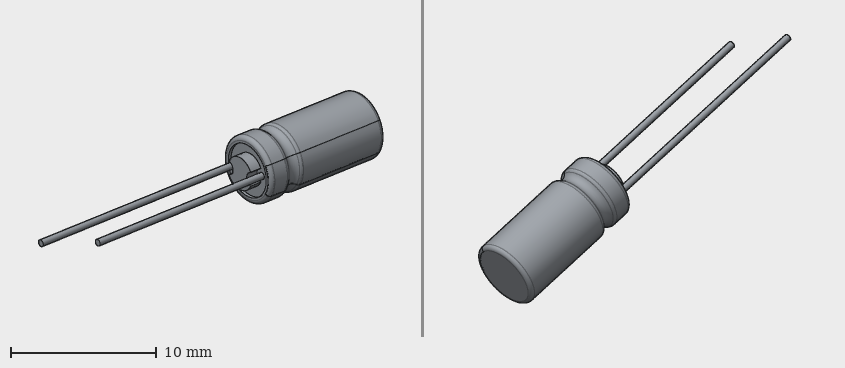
import cadquery as cq
import math


can_diameter = 5.0
can_radius = can_diameter / 2
can_length = 10.33
open_end_fillet = 0.35
closed_end_fillet = 0.3
recess_depth = 0.25

groove_center_y = 2.2
groove_depth = 0.35
groove_radius = 0.62
groove_lip_radius = 0.35

stripe_angle = 60.0
stripe_thickness = 0.08

bung_radius = 2.0
bung_thickness = 1.12
boss_diameter = 2.5
boss_radius = boss_diameter / 2
boss_height = 0.67
notch_radius = 0.53

lead_radius = 0.25
lead_pitch = 2.5
total_length = 28.0
lead_length_difference = 3.0
long_lead_end = can_length - total_length
lead_ends = {-1: long_lead_end, 1: long_lead_end + lead_length_difference}

bung_face_y = recess_depth
bung_back_y = bung_face_y + bung_thickness

DIAGONAL = math.sqrt(0.5)


def add_outer_profile(sketch, inset):
    """Draw the can's outside from the open end to the closed end, moved inward by inset."""
    side = can_radius - inset
    open_fillet = open_end_fillet - inset
    closed_fillet = closed_end_fillet - inset
    lip = groove_lip_radius - inset
    hollow = groove_radius + inset

    center_distance = groove_radius + groove_lip_radius
    blend_angle = math.acos(1 - groove_depth / center_distance)
    lip_offset = center_distance * math.sin(blend_angle)
    lip_center_x = can_radius - groove_lip_radius
    blend_x = lip_center_x + lip * math.cos(blend_angle)
    blend_offset = hollow * math.sin(blend_angle)
    lip_mid_x = lip_center_x + lip * math.cos(blend_angle / 2)
    lip_mid_offset = lip_offset - lip * math.sin(blend_angle / 2)
    groove_floor = can_radius - groove_depth - inset

    open_center_x = can_radius - open_end_fillet
    closed_center_x = can_radius - closed_end_fillet
    closed_center_y = can_length - closed_end_fillet
    return (
        sketch.lineTo(open_center_x, inset)
        .threePointArc(
            (open_center_x + open_fillet * DIAGONAL, open_end_fillet - open_fillet * DIAGONAL),
            (side, open_end_fillet),
        )
        .lineTo(side, groove_center_y - lip_offset)
        .threePointArc(
            (lip_mid_x, groove_center_y - lip_mid_offset),
            (blend_x, groove_center_y - blend_offset),
        )
        .threePointArc(
            (groove_floor, groove_center_y),
            (blend_x, groove_center_y + blend_offset),
        )
        .threePointArc(
            (lip_mid_x, groove_center_y + lip_mid_offset),
            (side, groove_center_y + lip_offset),
        )
        .lineTo(side, closed_center_y)
        .threePointArc(
            (closed_center_x + closed_fillet * DIAGONAL, closed_center_y + closed_fillet * DIAGONAL),
            (closed_center_x, can_length - inset),
        )
    )


def revolve_profile(inset):
    """Solid of revolution about Y whose outside lies inset below the can's surface."""
    sketch = cq.Workplane("XY").moveTo(0, inset)
    outline = add_outer_profile(sketch, inset).lineTo(0, can_length - inset).close()
    return outline.revolve(360, (0, 0), (0, 1))


def cylinder(radius, start_y, end_y, center_x=0):
    """Cylinder along Y between two Y positions."""
    plane = cq.Workplane(cq.Plane((center_x, start_y, 0), xDir=(1, 0, 0), normal=(0, 1, 0)))
    return plane.circle(radius).extrude(end_y - start_y)


def make_stripe():
    """Skin of the can within the stripe angle, ending where the end fillets meet the flats."""
    skin = revolve_profile(0).cut(revolve_profile(stripe_thickness))
    reach = 2 * can_radius
    half_width = reach * math.tan(math.radians(stripe_angle / 2))
    plane = cq.Workplane(cq.Plane((0, 0, 0), xDir=(1, 0, 0), normal=(0, 1, 0)))
    wedge = plane.polyline([(0, 0), (reach, -half_width), (reach, half_width)]).close().extrude(can_length)
    open_flat = cylinder(can_radius - open_end_fillet, 0, stripe_thickness)
    closed_flat = cylinder(can_radius - closed_end_fillet, can_length - stripe_thickness, can_length)
    return skin.cut(open_flat).cut(closed_flat).intersect(wedge)


def make_can(stripe):
    """Can body with a pocket for the bung and a shallow seat for the stripe."""
    pocket = cylinder(bung_radius, 0, bung_back_y)
    return revolve_profile(0).cut(pocket).cut(stripe)


def make_bung():
    """Plug with a boss, notched around each lead, and a hole for each lead."""
    bung = cylinder(bung_radius, bung_face_y, bung_back_y)
    bung = bung.union(cylinder(boss_radius, -boss_height, bung_face_y))
    for side in lead_ends:
        lead_x = side * lead_pitch / 2
        bung = bung.cut(cylinder(notch_radius, -boss_height, bung_face_y, lead_x))
        bung = bung.cut(cylinder(lead_radius, bung_face_y, bung_back_y, lead_x))
    return bung


def make_lead(side, end_y):
    """Round wire from its free end to the back of the bung."""
    return cylinder(lead_radius, end_y, bung_back_y, side * lead_pitch / 2)


stripe = make_stripe()
can = make_can(stripe)
bung = make_bung()
leads = [make_lead(side, end_y).val() for side, end_y in lead_ends.items()]

result = cq.Compound.makeCompound(
    [can.solids().val(), stripe.solids().val(), bung.solids().val(), *leads]
)